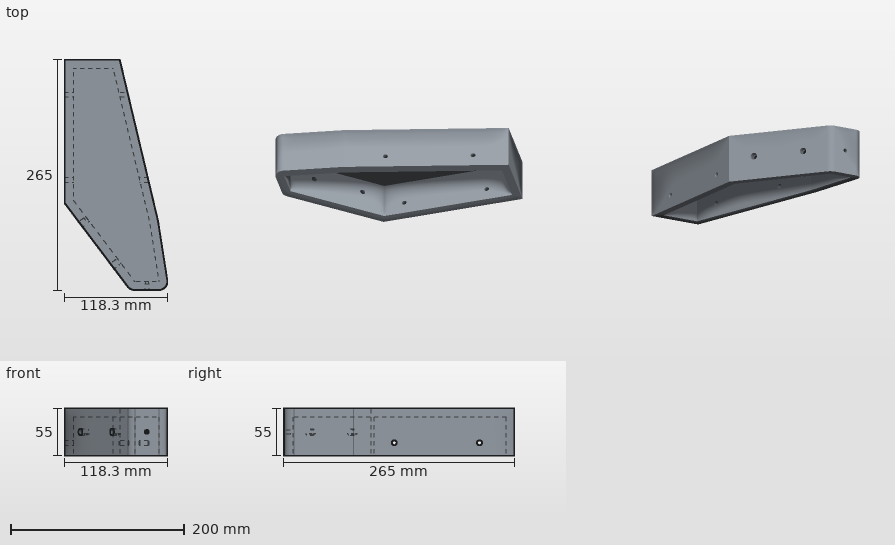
import cadquery as cq
import math

height = 55.0
length = 265.0
back_width = 63.5
slant_run = 75.5
slant_rise = 100.0
knee_x = 107.45
knee_y = 80.0
front_corner_x = 120.0
corner_radius = 10.0
wall = 10.0

cross_hole_diameter = 5.5
cross_hole_z = 15.0
cross_hole_ys = (127.0, 225.0)

slant_bore_diameter = 7.75
slant_bore_depth = 7.5
slant_pilot_diameter = 6.2
slant_hole_distances = (30.2, 90.5)

front_bore_diameter = 4.5
front_bore_depth = 7.5
front_pilot_diameter = 3.2
front_hole_x = 94.5

mid_z = height / 2
pilot_reach = wall + 1.0


def make_plan():
    """Plan outline with sharp corners."""
    corners = [
        (0, slant_rise),
        (slant_run, 0),
        (front_corner_x, 0),
        (knee_x, knee_y),
        (back_width, length),
        (0, length),
    ]
    return cq.Workplane("XY").polyline(corners).close()


def make_body():
    """Prism over the plan outline, with both front corners rounded."""
    body = make_plan().extrude(height)
    front_corners = body.faces("<Y").edges("|Z")
    return front_corners.fillet(corner_radius)


def make_cavity():
    """Hollow that follows the side walls and opens at the bottom."""
    return make_plan().offset2D(-wall, "intersection").extrude(height - wall)


def drill(start, direction, diameter, depth):
    """Cylinder used to cut a hole from a start point along a direction."""
    return cq.Solid.makeCylinder(diameter / 2, depth, cq.Vector(*start), cq.Vector(*direction))


def cut_stepped_hole(body, start, inward, bore_diameter, bore_depth, pilot_diameter):
    """Wide bore followed by a narrower pilot that reaches the cavity."""
    body = body.cut(drill(start, inward, bore_diameter, bore_depth))
    return body.cut(drill(start, inward, pilot_diameter, pilot_reach))


def cut_cross_holes(body):
    for y in cross_hole_ys:
        start = (0, y, cross_hole_z)
        body = body.cut(drill(start, (1, 0, 0), cross_hole_diameter, front_corner_x))
    return body


def cut_slant_holes(body):
    slant_length = math.hypot(slant_run, slant_rise)
    along_x = slant_run / slant_length
    along_y = -slant_rise / slant_length
    inward = (-along_y, along_x, 0)
    for distance in slant_hole_distances:
        start = (distance * along_x, slant_rise + distance * along_y, mid_z)
        body = cut_stepped_hole(
            body, start, inward, slant_bore_diameter, slant_bore_depth, slant_pilot_diameter
        )
    return body


def cut_front_hole(body):
    start = (front_hole_x, 0, mid_z)
    return cut_stepped_hole(
        body, start, (0, 1, 0), front_bore_diameter, front_bore_depth, front_pilot_diameter
    )


result = make_body().cut(make_cavity())
result = cut_cross_holes(result)
result = cut_slant_holes(result)
result = cut_front_hole(result)